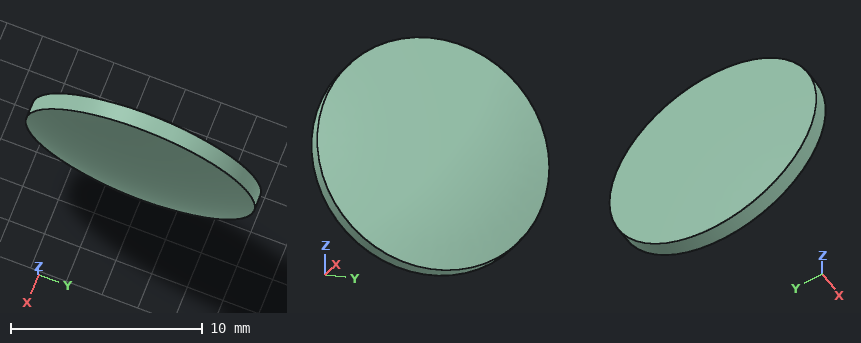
import cadquery as cq

diameter = 12.85
center_thickness = 3.0
edge_thickness = 0.91

rim_radius = diameter / 2
half_center = center_thickness / 2
half_edge = edge_thickness / 2

cap_height = half_center - half_edge
face_radius = (rim_radius**2 + cap_height**2) / (2 * cap_height)

mid_height = rim_radius / 2
mid_x = half_center - face_radius + (face_radius**2 - mid_height**2) ** 0.5

half_section = (
    cq.Workplane("XY")
    .moveTo(-half_center, 0)
    .threePointArc((-mid_x, mid_height), (-half_edge, rim_radius))
    .lineTo(half_edge, rim_radius)
    .threePointArc((mid_x, mid_height), (half_center, 0))
    .close()
)

result = half_section.revolve(360, (0, 0, 0), (1, 0, 0))